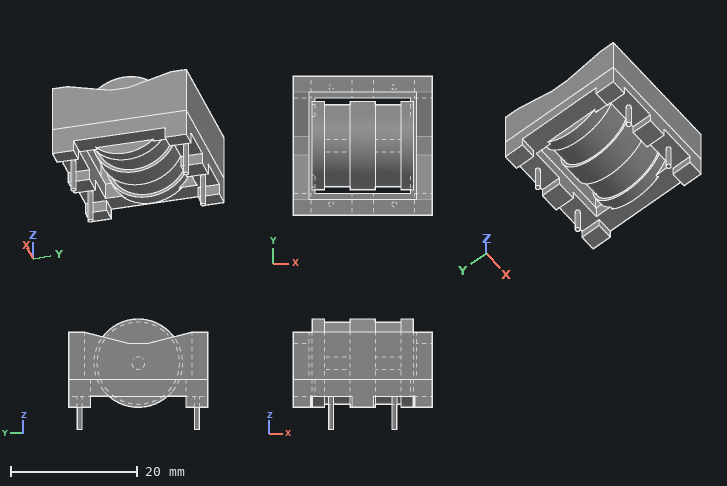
import cadquery as cq


side = 22.0
base_height = 4.4
base_opening = 15.0
notch_height = 1.75
corner_foot_width = 2.8
middle_foot_width = 3.45
rim_width = (side - base_opening) / 2

frame_height = 7.5
frame_wall = 2.5
dip_depth = 1.8
dip_floor_width = 3.0
frame_opening = side - 2 * frame_wall
frame_top = base_height + frame_height

flange_diameter = 14.0
winding_diameter = 13.0
core_diameter = 2.0
end_flange_width = 2.0
middle_flange_width = 4.0
winding_width = 4.0
axis_height = flange_diameter / 2
bobbin_length = 2 * end_flange_width + 2 * winding_width + middle_flange_width
end_flange_center = (bobbin_length - end_flange_width) / 2
winding_center = (middle_flange_width + winding_width) / 2

pin_diameter = 0.8
pin_drop = 3.5
pin_x = 5.0
pin_y = (side - rim_width) / 2


def box_from(width, depth, height, bottom, x=0.0):
    """Box centred on Y = 0, rising from the given height."""
    return cq.Workplane("XY", origin=(x, 0, bottom)).rect(width, depth).extrude(height)


def x_cylinder(diameter, width, center_x):
    """Disc on the bobbin axis, centred on center_x."""
    start = (center_x - width / 2, 0, axis_height)
    return cq.Workplane("YZ", origin=start).circle(diameter / 2).extrude(width)


def make_base():
    base = box_from(side, side, base_height, 0)
    base = base.cut(box_from(base_opening, base_opening, base_height, 0))

    base = base.cut(box_from(side, base_opening, notch_height, 0))
    notch_width = (side - middle_foot_width) / 2 - corner_foot_width
    notch_center = (middle_foot_width + notch_width) / 2
    for sign in (-1, 1):
        base = base.cut(box_from(notch_width, side, notch_height, 0, sign * notch_center))

    for sign in (-1, 1):
        base = base.cut(x_cylinder(flange_diameter, end_flange_width, sign * end_flange_center))
    return base


def make_frame():
    frame = box_from(side, side, frame_height, base_height)
    frame = frame.cut(box_from(frame_opening, frame_opening, frame_height, base_height))

    dip_floor = frame_top - dip_depth
    dip = (
        cq.Workplane("YZ")
        .moveTo(-frame_opening / 2, frame_top)
        .lineTo(-dip_floor_width / 2, dip_floor)
        .lineTo(dip_floor_width / 2, dip_floor)
        .lineTo(frame_opening / 2, frame_top)
        .close()
        .extrude(side / 2, both=True)
    )
    return frame.cut(dip)


def make_bobbin():
    bobbin = x_cylinder(core_diameter, bobbin_length, 0)
    bobbin = bobbin.union(x_cylinder(flange_diameter, middle_flange_width, 0))
    for sign in (-1, 1):
        bobbin = bobbin.union(x_cylinder(flange_diameter, end_flange_width, sign * end_flange_center))
    return bobbin


def make_winding(center_x):
    core = x_cylinder(core_diameter, winding_width, center_x)
    return x_cylinder(winding_diameter, winding_width, center_x).cut(core)


def make_pin(x, y):
    pin_length = pin_drop + notch_height
    return cq.Workplane("XY", origin=(x, y, -pin_drop)).circle(pin_diameter / 2).extrude(pin_length)


base = make_base()
frame = make_frame()
bobbin = make_bobbin()
windings = [make_winding(sign * winding_center) for sign in (-1, 1)]
pins = [make_pin(x, y) for x in (-pin_x, pin_x) for y in (-pin_y, pin_y)]

result = cq.Compound.makeCompound(
    [base.val(), frame.val(), bobbin.val()]
    + [winding.val() for winding in windings]
    + [pin.val() for pin in pins]
)